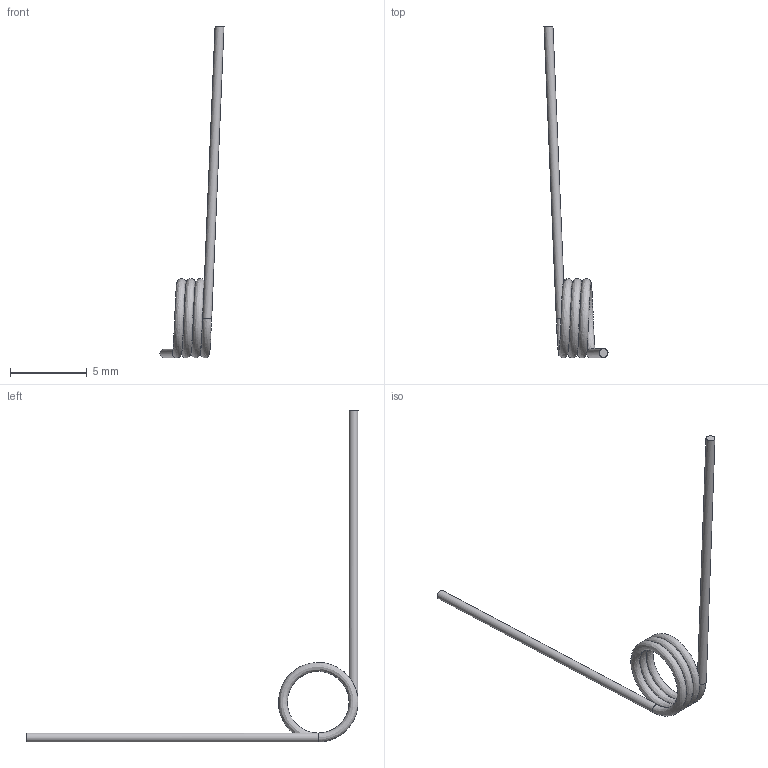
import cadquery as cq
import math

wire_diameter = 0.5842
coil_inner_diameter = 4.0132
coil_pitch = 0.6096
coil_turns = 3 + 1 / 4
leg_length = 19.05

mean_radius = (coil_inner_diameter + wire_diameter) / 2
coil_length = coil_pitch * coil_turns

helix_angle = math.atan2(coil_pitch, 2 * math.pi * mean_radius)
axial_part = math.sin(helix_angle)
tangential_part = math.cos(helix_angle)

coil_start = cq.Vector(0, 0, -mean_radius)
coil_end = cq.Vector(coil_length, -mean_radius, 0)
start_tangent = cq.Vector(axial_part, -tangential_part, 0)
end_tangent = cq.Vector(axial_part, 0, tangential_part)


def wire_section(center, direction):
    """Round wire section at a point, square to the given direction."""
    plane = cq.Plane(origin=center, xDir=(-1, 0, 0), normal=direction)
    return cq.Workplane(plane).circle(wire_diameter / 2)


def make_coil():
    """Left-handed helical coil that starts at the bottom (-Z) and ends at the -Y side."""
    helix = cq.Wire.makeHelix(
        coil_pitch, coil_length, mean_radius, dir=cq.Vector(1, 0, 0), lefthand=True
    )
    helix_start = helix.startPoint()
    helix_start_angle = math.degrees(math.atan2(helix_start.z, helix_start.y))
    bottom_angle = -90
    path = helix.rotate(cq.Vector(0, 0, 0), cq.Vector(1, 0, 0), bottom_angle - helix_start_angle)
    return wire_section(coil_start, start_tangent).sweep(cq.Workplane(path), isFrenet=True)


def make_leg(root, direction):
    """Straight leg running from a coil end along the given direction."""
    return wire_section(root, direction).extrude(leg_length)


coil = make_coil()
start_leg = make_leg(coil_start, start_tangent * -1)
end_leg = make_leg(coil_end, end_tangent)

result = coil.union(start_leg).union(end_leg)